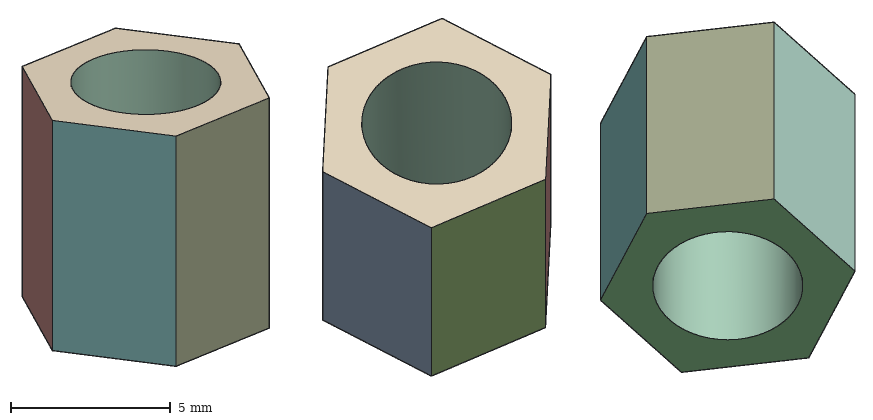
import cadquery as cq

width_across_corners = 8.08
height = 8.0
bore_diameter = 4.7

hexagon_body = cq.Workplane("XY").polygon(6, width_across_corners).extrude(height)

result = hexagon_body.faces(">Z").workplane().hole(bore_diameter)